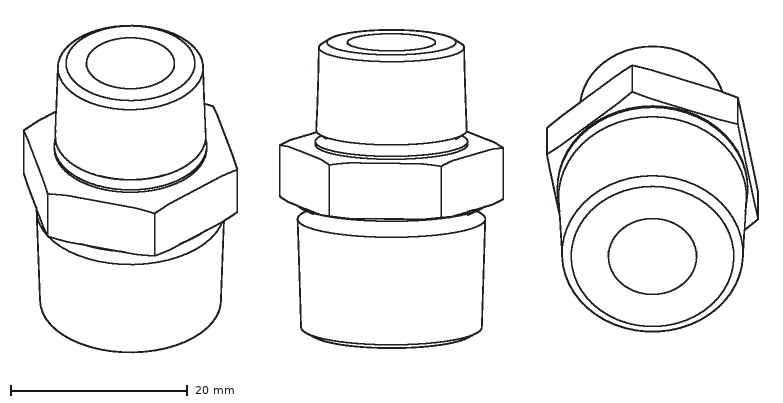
import cadquery as cq
import math

total_height = 33.5
hex_across_flats = 22.0
hex_bottom = 15.28
hex_top = 21.7
hex_face_radius = 11.72
hex_chamfer_angle = 15.0
envelope_clearance = 0.35
bore_radius = 5.0
taper_slope = 1 / 32

end_chamfer_height = 0.6
upper_end_radius = 7.3
lower_end_radius = 9.2

groove_flank_angle = 30.0

upper_thread_radius = 8.55
upper_thread_start = 23.35
upper_groove_radius = 7.6
upper_groove_top = 22.78
upper_groove_bottom = 22.48
upper_collar_radius = 8.65
upper_collar_edge = 22.05

lower_thread_radius = 10.65
lower_thread_start = 13.1
lower_groove_radius = 9.38
lower_groove_top = 14.35
lower_groove_bottom = 13.87
lower_collar_radius = 10.8
lower_collar_edge = 14.97

hex_height = hex_top - hex_bottom
hex_corner_radius = hex_across_flats / math.sqrt(3)
envelope_radius = hex_corner_radius + envelope_clearance
envelope_drop = (envelope_radius - hex_face_radius) * math.tan(math.radians(hex_chamfer_angle))
upper_chamfer_start = total_height - end_chamfer_height
upper_tip_radius = upper_thread_radius - taper_slope * (upper_chamfer_start - upper_thread_start)
lower_tip_radius = lower_thread_radius - taper_slope * (lower_thread_start - end_chamfer_height)


def groove_floor(deepest_radius, bottom, top):
    """Start, middle and end of a floor arc that runs tangentially into both groove flanks."""
    half_width = (top - bottom) / 2
    arc_depth = half_width * math.tan(math.radians(90 - groove_flank_angle) / 2)
    edge_radius = deepest_radius + arc_depth
    return (edge_radius, bottom), (deepest_radius, bottom + half_width), (edge_radius, top)


def revolve_around_z(outline):
    """Revolve a closed (radius, height) outline around the Z axis."""
    return outline.close().revolve(360, (0, 0, 0), (0, 1, 0))


def threaded_body():
    """Both tapered ends with their relief grooves and collars."""
    lower_floor = groove_floor(lower_groove_radius, lower_groove_bottom, lower_groove_top)
    upper_floor = groove_floor(upper_groove_radius, upper_groove_bottom, upper_groove_top)
    outline = (
        cq.Workplane("XZ")
        .lineTo(lower_end_radius, 0)
        .lineTo(lower_tip_radius, end_chamfer_height)
        .lineTo(lower_thread_radius, lower_thread_start)
        .lineTo(*lower_floor[0])
        .threePointArc(*lower_floor[1:])
        .lineTo(lower_collar_radius, lower_collar_edge)
        .lineTo(lower_collar_radius, hex_bottom)
        .lineTo(upper_collar_radius, hex_top)
        .lineTo(upper_collar_radius, upper_collar_edge)
        .lineTo(*upper_floor[0])
        .threePointArc(*upper_floor[1:])
        .lineTo(upper_thread_radius, upper_thread_start)
        .lineTo(upper_tip_radius, upper_chamfer_start)
        .lineTo(upper_end_radius, total_height)
        .lineTo(0, total_height)
    )
    return revolve_around_z(outline)


def hex_flange():
    """Hexagon with corners on the X axis, turned down conically at both faces."""
    prism = (
        cq.Workplane("XY")
        .workplane(offset=hex_bottom)
        .polygon(6, 2 * hex_corner_radius)
        .extrude(hex_height)
    )
    envelope_outline = cq.Workplane("XZ").polyline([
        (0, hex_bottom),
        (hex_face_radius, hex_bottom),
        (envelope_radius, hex_bottom + envelope_drop),
        (envelope_radius, hex_top - envelope_drop),
        (hex_face_radius, hex_top),
        (0, hex_top),
    ])
    return prism.intersect(revolve_around_z(envelope_outline))


bore = cq.Workplane("XY").circle(bore_radius).extrude(total_height)

result = threaded_body().union(hex_flange()).cut(bore)